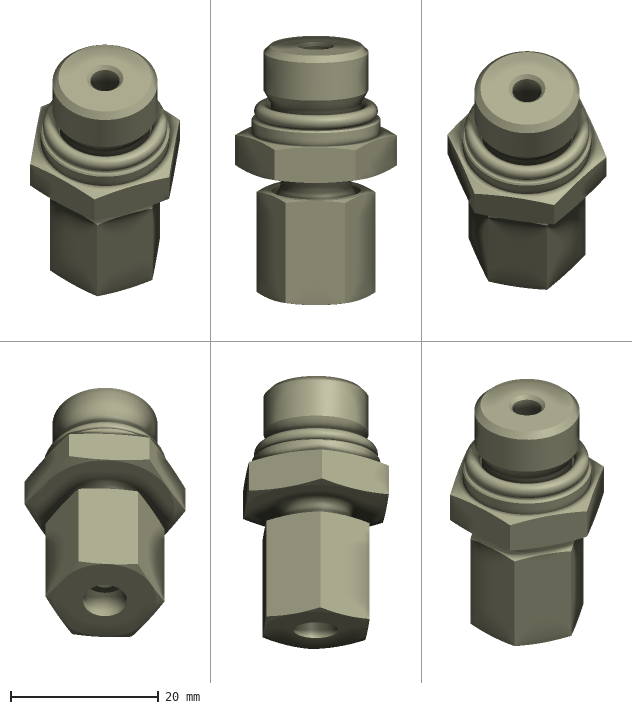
import cadquery as cq
import math

NUT_TOP = 14.5
HEX_BOTTOM = 17.5
HEX_TOP = 22.5
FLANGE_TOP = 24.5
THREAD_BOTTOM = 28.43
BODY_TOP = 34.5

HEX_TURN = 7.6
HEX_CHAMFER_ANGLE = 15.0
HEX_ACROSS_FLATS = 19.0
HEX_FACE_DIAMETER = 18.85
NUT_ACROSS_FLATS = 14.0
NUT_FACE_DIAMETER = 13.97

THREAD_DIAMETER = 14.3
THREAD_CHAMFER = 0.83
RELIEF_DIAMETER = 12.25
FLANGE_DIAMETER = 17.5
FLANGE_CHAMFER = 0.2
NECK_DIAMETER = 9.7
STEM_DIAMETER = 12.0
STEM_LENGTH = 10.0
RELIEF_ANGLE = 30.0
RELIEF_BLEND = 0.8
NECK_FILLET = 1.0
NECK_BLEND_START = 15.1
BORE_DIAMETER = 4.0
BORE_CHAMFER = 0.5

TUBE_HOLE_DIAMETER = 6.0
NUT_MOUTH_DIAMETER = 12.25
RING_OUTER_DIAMETER = 16.8
RING_SECTION_DIAMETER = 1.95

relief_angle = math.radians(RELIEF_ANGLE)
blend_rise = RELIEF_BLEND * math.sin(relief_angle)
blend_run = RELIEF_BLEND * (1 - math.cos(relief_angle))
blend_mid_rise = RELIEF_BLEND * math.sin(relief_angle / 2)
blend_mid_run = RELIEF_BLEND * (1 - math.cos(relief_angle / 2))

stem_bottom = NUT_TOP - STEM_LENGTH


def revolve_about_z(profile):
    """Revolve a closed (radius, height) profile drawn on the XZ plane."""
    return profile.close().revolve(360, (0, 0, 0), (0, 1, 0))


def chamfered_hexagon(across_flats, face_diameter, bottom, top):
    """Hexagonal prism whose corners are cut by a cone at both ends."""
    corner_radius = across_flats / math.sqrt(3)
    face_radius = face_diameter / 2
    chamfer_drop = (corner_radius - face_radius) * math.tan(math.radians(HEX_CHAMFER_ANGLE))
    prism = (
        cq.Workplane("XY")
        .workplane(offset=bottom)
        .polygon(6, 2 * corner_radius)
        .extrude(top - bottom)
        .rotate((0, 0, 0), (0, 0, 1), 90 + HEX_TURN)
    )
    envelope = revolve_about_z(
        cq.Workplane("XZ")
        .moveTo(0, bottom)
        .lineTo(face_radius, bottom)
        .lineTo(corner_radius, bottom + chamfer_drop)
        .lineTo(corner_radius, top - chamfer_drop)
        .lineTo(face_radius, top)
        .lineTo(0, top)
    )
    return prism.intersect(envelope)


def make_stem_and_neck():
    """Stem inside the nut and the necked length up to the hexagon."""
    neck = NECK_DIAMETER / 2
    stem = STEM_DIAMETER / 2
    cone_top = NECK_BLEND_START - blend_rise
    cone_height = (stem - neck - blend_run) / math.tan(relief_angle)
    arc_offset = NECK_FILLET * (1 - math.sqrt(0.5))
    return revolve_about_z(
        cq.Workplane("XZ")
        .moveTo(0, stem_bottom)
        .lineTo(stem, stem_bottom)
        .lineTo(stem, cone_top - cone_height)
        .lineTo(neck + blend_run, cone_top)
        .threePointArc(
            (neck + blend_mid_run, NECK_BLEND_START - blend_mid_rise),
            (neck, NECK_BLEND_START),
        )
        .lineTo(neck, HEX_BOTTOM - NECK_FILLET)
        .threePointArc(
            (neck + arc_offset, HEX_BOTTOM - arc_offset),
            (neck + NECK_FILLET, HEX_BOTTOM),
        )
        .lineTo(0, HEX_BOTTOM)
    )


def make_flange_and_thread():
    """Flange, O-ring relief groove and threaded end above the hexagon."""
    flange = FLANGE_DIAMETER / 2
    relief = RELIEF_DIAMETER / 2
    thread = THREAD_DIAMETER / 2
    cone_bottom = THREAD_BOTTOM - (thread - relief - blend_run) / math.tan(relief_angle)
    blend_start = cone_bottom - blend_rise
    return revolve_about_z(
        cq.Workplane("XZ")
        .moveTo(0, HEX_TOP)
        .lineTo(flange, HEX_TOP)
        .lineTo(flange, FLANGE_TOP - FLANGE_CHAMFER)
        .lineTo(flange - FLANGE_CHAMFER, FLANGE_TOP)
        .lineTo(relief, FLANGE_TOP)
        .lineTo(relief, blend_start)
        .threePointArc(
            (relief + blend_mid_run, blend_start + blend_mid_rise),
            (relief + blend_run, cone_bottom),
        )
        .lineTo(thread, THREAD_BOTTOM)
        .lineTo(thread, BODY_TOP - THREAD_CHAMFER)
        .lineTo(thread - THREAD_CHAMFER, BODY_TOP)
        .lineTo(0, BODY_TOP)
    )


def make_bore():
    """Through bore with a countersunk mouth at the threaded end."""
    bore = BORE_DIAMETER / 2
    return revolve_about_z(
        cq.Workplane("XZ")
        .moveTo(0, stem_bottom)
        .lineTo(bore, stem_bottom)
        .lineTo(bore, BODY_TOP - BORE_CHAMFER)
        .lineTo(bore + BORE_CHAMFER, BODY_TOP)
        .lineTo(0, BODY_TOP)
    )


def make_body():
    hexagon = chamfered_hexagon(HEX_ACROSS_FLATS, HEX_FACE_DIAMETER, HEX_BOTTOM, HEX_TOP)
    return hexagon.union(make_stem_and_neck()).union(make_flange_and_thread()).cut(make_bore())


def make_nut():
    """Union nut: countersunk recess for the stem above, tube hole through the end below."""
    stem = STEM_DIAMETER / 2
    mouth = NUT_MOUTH_DIAMETER / 2
    tube = TUBE_HOLE_DIAMETER / 2
    mouth_depth = mouth - stem
    opening = revolve_about_z(
        cq.Workplane("XZ")
        .lineTo(tube, 0)
        .lineTo(tube, stem_bottom)
        .lineTo(stem, stem_bottom)
        .lineTo(stem, NUT_TOP - mouth_depth)
        .lineTo(mouth, NUT_TOP)
        .lineTo(0, NUT_TOP)
    )
    blank = chamfered_hexagon(NUT_ACROSS_FLATS, NUT_FACE_DIAMETER, 0, NUT_TOP)
    return blank.cut(opening)


def make_o_ring():
    """O-ring resting on the flange around the relief groove."""
    section_radius = RING_SECTION_DIAMETER / 2
    centre_radius = RING_OUTER_DIAMETER / 2 - section_radius
    return (
        cq.Workplane("XZ")
        .center(centre_radius, FLANGE_TOP + section_radius)
        .circle(section_radius)
        .revolve(360, (-centre_radius, 0, 0), (-centre_radius, 1, 0))
    )


body = make_body()
nut = make_nut()
o_ring = make_o_ring()

result = cq.Compound.makeCompound([body.val(), nut.val(), o_ring.val()])